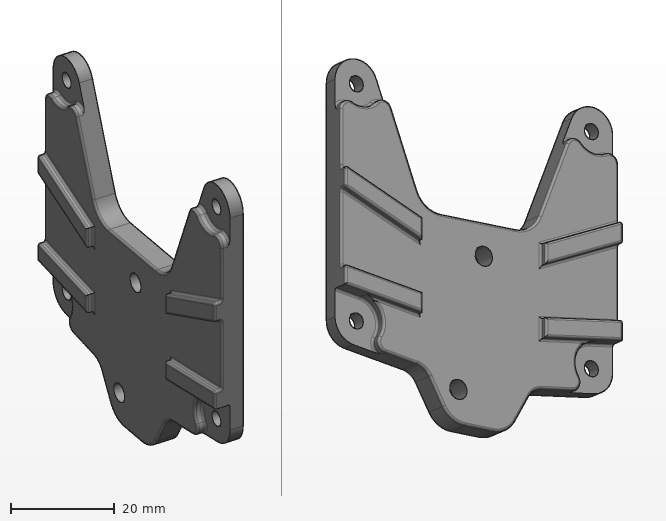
import cadquery as cq
import math


width = 65.0
height = 70.2
floor_thickness = 3.0
pad_thickness = 5.0
rib_top = 6.6
edge_radius = 0.5

lug_radius = 5.0
lug_hole_diameter = 3.2
lower_lug_z = 17.35
step_corner_diameter = 4.0

left_arm_angle = math.radians(21.2)
right_arm_angle = math.radians(22.2)
notch_floor_z = 41.7
notch_radius = 6.0
shoulder_angle = math.radians(8)
tail_angle = math.radians(60)
tail_corner_x = 6.75
tail_corner_radius = 6.0
tail_root_radius = 4.0

rib_inner_x = 14.4
rib_width = 4.0
upper_rib_angle = math.radians(22.5)
upper_rib_z = 35.3

center_hole_diameter = 4.0
center_holes = [(1.0, 34.9), (-5.0, 6.95)]

clearance = 7.0
margin = 0.1

half_width = width / 2
step_corner_radius = step_corner_diameter / 2
upper_lug = (half_width - lug_radius, height - lug_radius)
lower_lug = (half_width - lug_radius, lower_lug_z)


def move(point, direction, distance):
    """Point reached by travelling a distance along a unit direction."""
    return (point[0] + distance * direction[0], point[1] + distance * direction[1])


def toward(start, end, distance):
    """Point at a distance from start on the line to end."""
    length = math.dist(start, end)
    return move(start, ((end[0] - start[0]) / length, (end[1] - start[1]) / length), distance)


shoulder_normal = (math.sin(shoulder_angle), -math.cos(shoulder_angle))
shoulder_inward = (-math.cos(shoulder_angle), -math.sin(shoulder_angle))
shoulder_tangent = move(lower_lug, shoulder_normal, lug_radius)

shoulder_slope = math.tan(shoulder_angle)
tail_slope = math.tan(tail_angle)
shoulder_intercept = shoulder_tangent[1] - shoulder_slope * shoulder_tangent[0]
root_x = (shoulder_intercept + tail_slope * tail_corner_x) / (tail_slope - shoulder_slope)
root_z = tail_slope * (root_x - tail_corner_x)

step_line_start = toward(lower_lug, shoulder_tangent, -lug_radius)


def step_line_point(x):
    """Point at x on the straight part of the lower step."""
    return (x, step_line_start[1] + (x - step_line_start[0]) * shoulder_slope)


def arm_directions(arm_angle):
    """Outward normal of the inner arm edge and the direction down along it."""
    normal = (-math.cos(arm_angle), math.sin(arm_angle))
    down = (-math.sin(arm_angle), -math.cos(arm_angle))
    return normal, down


def notch_corner(arm_angle):
    """Sharp corner between the inner arm edge and the notch floor."""
    normal, down = arm_directions(arm_angle)
    start = move(upper_lug, normal, lug_radius)
    return move(start, down, (start[1] - notch_floor_z) / math.cos(arm_angle))


def step_corner(lug, normal, along):
    """Edge point, middle point and lug-arc point of the arc from plate edge to lug step."""
    offset = lug_radius - step_corner_radius
    reach = math.sqrt((lug_radius + step_corner_radius) ** 2 - offset**2)
    center = move(move(lug, normal, offset), along, reach)
    on_edge = move(center, normal, step_corner_radius)
    on_step = toward(lug, center, lug_radius)
    chord_middle = ((on_edge[0] + on_step[0]) / 2, (on_edge[1] + on_step[1]) / 2)
    return on_edge, toward(center, chord_middle, step_corner_radius), on_step


def draw_upper_step(sketch, arm_angle):
    """Continue a sketch along the upper step, from the arm edge to the plate side."""
    arm_edge, arm_middle, arm_step = step_corner(upper_lug, *arm_directions(arm_angle))
    side_edge, side_middle, side_step = step_corner(upper_lug, (1, 0), (0, -1))
    return (
        sketch.lineTo(*arm_edge)
        .threePointArc(arm_middle, arm_step)
        .threePointArc(move(upper_lug, (0, -1), lug_radius), side_step)
        .threePointArc(side_middle, side_edge)
    )


def draw_lower_step(sketch):
    """Continue a sketch along the lower step, from its straight part to the shoulder."""
    low_edge, low_middle, low_step = step_corner(lower_lug, shoulder_normal, shoulder_inward)
    return (
        sketch.lineTo(*step_line_start)
        .threePointArc(move(lower_lug, (-1, 0), lug_radius), low_step)
        .threePointArc(low_middle, low_edge)
    )


def round_plan_corner(solid, corner, radius):
    """Round the through-depth edge standing at a sharp outline corner."""
    x, z = corner
    around = cq.selectors.BoxSelector(
        (x - margin, -rib_top, z - margin), (x + margin, rib_top, z + margin)
    )
    return solid.edges(around).fillet(radius)


def finish_half_plate(sketch, arm_angle, thickness):
    """Close an outline along tail and notch, extrude it and round its plan corners."""
    solid = (
        sketch.lineTo(root_x, root_z)
        .lineTo(tail_corner_x, 0)
        .lineTo(0, 0)
        .lineTo(0, notch_floor_z)
        .close()
        .extrude(thickness)
    )
    solid = round_plan_corner(solid, notch_corner(arm_angle), notch_radius)
    solid = round_plan_corner(solid, (root_x, root_z), tail_root_radius)
    return round_plan_corner(solid, (tail_corner_x, 0), tail_corner_radius)


def start_outline(arm_angle):
    """Begin a half outline at the notch corner."""
    return cq.Workplane("XZ").moveTo(*notch_corner(arm_angle))


def lug_plate(arm_angle, thickness):
    """Half plate over the full outline, including both lugs."""
    arm_normal, _ = arm_directions(arm_angle)
    lower_corner = move((half_width, lower_lug_z), shoulder_normal, lug_radius)
    sketch = (
        start_outline(arm_angle)
        .lineTo(*move(upper_lug, arm_normal, lug_radius))
        .threePointArc(move(upper_lug, (0, 1), lug_radius), (half_width, upper_lug[1]))
        .lineTo(half_width, lower_lug_z)
        .threePointArc(toward(lower_lug, lower_corner, lug_radius), shoulder_tangent)
    )
    return finish_half_plate(sketch, arm_angle, thickness)


def pad(arm_angle, thickness):
    """Half plate whose outline steps back around both lugs."""
    sketch = draw_upper_step(start_outline(arm_angle), arm_angle)
    sketch = draw_lower_step(sketch.lineTo(*step_line_point(half_width)))
    return finish_half_plate(sketch, arm_angle, thickness)


def lower_rounded_pad(arm_angle):
    """The pad with its front rim rounded from the tail around the lower lug step."""
    low_edge = step_corner(lower_lug, shoulder_normal, shoulder_inward)[0]
    shoulder_middle = ((low_edge[0] + root_x) / 2, -pad_thickness, (low_edge[1] + root_z) / 2)
    rim = pad(arm_angle, pad_thickness).edges(cq.NearestToPointSelector(shoulder_middle))
    return rim.fillet(edge_radius)


def lug_relief(sketch):
    """Cutter in front of a lug whose walls curve into the lug floor."""
    cutter = sketch.close().extrude(clearance)
    return cutter.faces(">Y").edges("%CIRCLE").fillet(edge_radius)


def upper_relief(arm_angle):
    """Cutter for the upper lug."""
    arm_normal, arm_down = arm_directions(arm_angle)
    arm_edge = step_corner(upper_lug, arm_normal, arm_down)[0]
    side_edge = step_corner(upper_lug, (1, 0), (0, -1))[0]
    outer_x = half_width + clearance
    outer_arm = move(arm_edge, arm_normal, clearance)
    plane = cq.Workplane("XZ", origin=(0, -floor_thickness, 0))
    sketch = draw_upper_step(plane.moveTo(*outer_arm), arm_angle)
    return lug_relief(
        sketch.lineTo(outer_x, side_edge[1])
        .lineTo(outer_x, height + clearance)
        .lineTo(outer_arm[0], height + clearance)
    )


def lower_relief():
    """Cutter for the lower lug."""
    low_edge = step_corner(lower_lug, shoulder_normal, shoulder_inward)[0]
    outer_low = move(low_edge, shoulder_normal, clearance)
    outer_x = half_width + clearance
    plane = cq.Workplane("XZ", origin=(0, -floor_thickness, 0))
    sketch = draw_lower_step(plane.moveTo(*step_line_point(outer_x)))
    return lug_relief(sketch.lineTo(*outer_low).lineTo(outer_x, outer_low[1]))


foot_y = -pad_thickness
foot_end_y = foot_y - edge_radius
foot_lag = edge_radius * (1 - math.sqrt(0.5))


def draw_rising_wall(sketch, wall):
    """Draw a rib wall from its curved foot to the crest, with the rib on its positive side."""
    return (
        sketch.lineTo(wall - edge_radius, foot_y)
        .threePointArc((wall - foot_lag, foot_y - foot_lag), (wall, foot_end_y))
        .lineTo(wall, -rib_top)
    )


def rib(underside_z, angle):
    """Sharp-crested rib with curved feet, rising from its inner end to the plate side."""
    section_plane = cq.Plane(
        origin=(rib_inner_x, 0, underside_z),
        xDir=(-math.sin(angle), 0, math.cos(angle)),
        normal=(-math.cos(angle), 0, -math.sin(angle)),
    )
    section = cq.Workplane(section_plane).moveTo(-edge_radius, 0)
    bar = (
        draw_rising_wall(section, 0)
        .lineTo(rib_width, -rib_top)
        .lineTo(rib_width, foot_end_y)
        .threePointArc(
            (rib_width + foot_lag, foot_y - foot_lag), (rib_width + edge_radius, foot_y)
        )
        .lineTo(rib_width + edge_radius, 0)
        .close()
        .extrude(half_width, both=True)
    )

    ends = cq.Workplane("XY").moveTo(rib_inner_x - edge_radius, 0)
    ends = draw_rising_wall(ends, rib_inner_x)
    ends = ends.lineTo(half_width, -rib_top).lineTo(half_width, 0).close().extrude(height)
    return bar.intersect(ends)


def ribbed_pad(arm_angle):
    """Pad with both ribs, its rim, rib crests and side edges rounded."""
    ribs = rib(upper_rib_z, upper_rib_angle).union(
        rib(step_line_point(rib_inner_x)[1], shoulder_angle)
    )
    ribs = ribs.intersect(pad(arm_angle, rib_top))
    solid = lower_rounded_pad(arm_angle).union(ribs).clean()

    at_side = cq.selectors.BoxSelector(
        (half_width - margin, -rib_top - margin, 0),
        (half_width + margin, margin - pad_thickness, height),
        boundingbox=True,
    )
    crests = solid.faces("<Y").edges()
    return crests.add(solid.edges(at_side)).fillet(edge_radius)


def half_plate(arm_angle):
    """Complete right-hand half, without holes."""
    base = lug_plate(arm_angle, floor_thickness + edge_radius)
    base = base.cut(upper_relief(arm_angle)).cut(lower_relief())
    return base.union(ribbed_pad(arm_angle))


def drill(solid, centers, diameter):
    """Drill holes through the whole depth."""
    drills = cq.Workplane("XZ").pushPoints(centers).circle(diameter / 2).extrude(rib_top)
    return solid.cut(drills)


left_half = half_plate(left_arm_angle).mirror("YZ")
plate = half_plate(right_arm_angle).union(left_half).clean()
lug_centers = [(side * x, z) for side in (-1, 1) for x, z in (upper_lug, lower_lug)]
plate = drill(plate, lug_centers, lug_hole_diameter)
result = drill(plate, center_holes, center_hole_diameter)